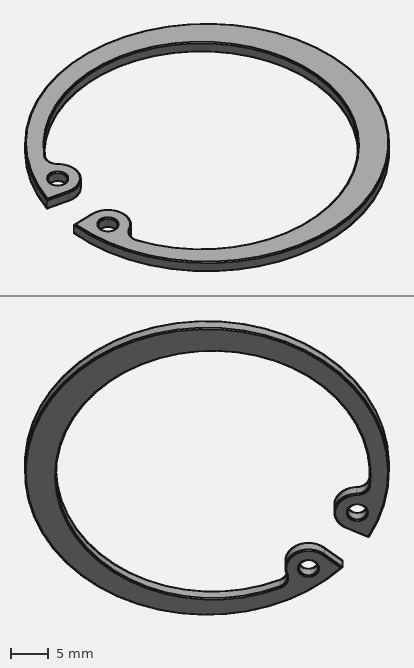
import cadquery as cq
import math

thickness = 1.75
outer_radius = 24.2
inner_radius = 20.8
inner_offset_y = -0.95
edge_chamfer = 0.17

lug_x = 5.7
lug_y = -20.35
lug_radius = 3.1
hole_diameter = 2.5
valley_radius = 1.7

tip_x = 3.05
gap_overcut = 2.4
tip_y = -math.sqrt(outer_radius**2 - tip_x**2)


def disc(radius, x=0.0, y=0.0):
    return cq.Workplane("XY").center(x, y).circle(radius).extrude(thickness)


def prism(points):
    return cq.Workplane("XY").polyline(points).close().extrude(thickness)


def lug_tangent_point():
    """Point where the end face of the right-hand lug touches the lug circle."""
    tip_distance = math.hypot(tip_x - lug_x, tip_y - lug_y)
    tip_angle = math.atan2(tip_y - lug_y, tip_x - lug_x)
    angle = tip_angle - math.acos(lug_radius / tip_distance)
    return lug_x + lug_radius * math.cos(angle), lug_y + lug_radius * math.sin(angle)


tangent_x, tangent_y = lug_tangent_point()

outer_disc = disc(outer_radius)
body = outer_disc.cut(disc(inner_radius, y=inner_offset_y))

for side in (-1, 1):
    flank = prism([(side * lug_x, lug_y), (side * tangent_x, tangent_y), (side * tip_x, tip_y)])
    lug = disc(lug_radius, side * lug_x, lug_y).intersect(outer_disc)
    body = body.union(lug).union(flank)

flank_slope = (tip_x - tangent_x) / (tip_y - tangent_y)
gap_bottom_y = -(outer_radius + gap_overcut)
gap_bottom_x = tip_x + flank_slope * (gap_bottom_y - tip_y)
gap = prism([
    (-tangent_x, tangent_y),
    (tangent_x, tangent_y),
    (gap_bottom_x, gap_bottom_y),
    (-gap_bottom_x, gap_bottom_y),
])
body = body.cut(gap)

valley_distance = lug_radius + valley_radius
for side in (-1, 1):
    valley_region = cq.selectors.BoxSelector(
        (side * lug_x, lug_y, 0),
        (side * (lug_x + valley_distance), lug_y + valley_distance, thickness),
    )
    body = body.edges("|Z").edges(valley_region).fillet(valley_radius)

for side in (-1, 1):
    body = body.cut(disc(hole_diameter / 2, side * lug_x, lug_y))

body = body.faces("<Z or >Z").chamfer(edge_chamfer)
result = body.translate((0, 0, -thickness / 2))